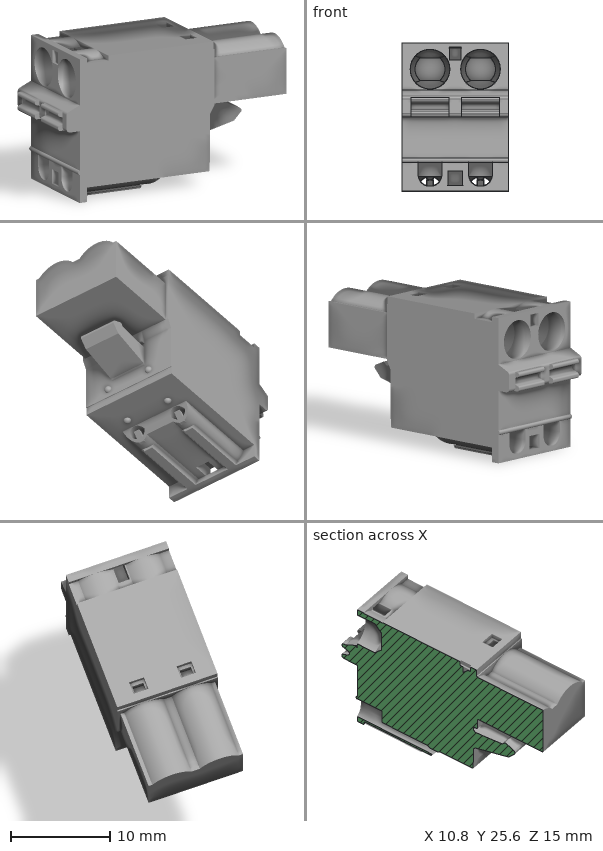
import cadquery as cq
import math


width = 10.75
top_z = 15.0
floor_z = 1.5
back_y = 14.82
nose_y = 15.33
nose_top_z = 14.15
nose_chamfer_bottom = (back_y, 7.5)
top_back_y = 15.2
heel_inset = 0.08
heel_z = 2.4
plate_thickness = 0.85

pole_pitch = 5.1
pole_xs = (-pole_pitch / 2, pole_pitch / 2)

plug_width = 10.15
plug_end_y = 23.63
plug_bottom_z = 8.42
plug_shoulder_z = 13.18
plug_crown_width = 4.25

recess_back_y = 3.25
recess_floor_z = 14.46
recess_crown_width = 3.64

socket_depth = 2.43
top_socket_width = 1.2
top_socket_bottom_z = 13.25
top_socket_height = 1.33
low_socket_width = 1.5
low_socket_bottom_z = 0.6
low_socket_height = 1.48

entry_z = 12.35
entry_radius = 2.0
entry_depth = 2.25
entry_split_angle = 42.0
throat_radius = 1.5
throat_half_height = 1.15
throat_depth = 0.77

window_width = 1.6
window_front_y = 13.08
window_back_y = 14.4
window_depth = 0.49
well_width = 1.2
well_front_y = 13.45
well_ledge_y = 14.08
well_ledge_depth = 0.13

ledge_top_z = 10.21
ledge_bottom_z = 7.5
ledge_reach = 1.48
ledge_nose_z = 9.55
ledge_top_round = 0.3
ledge_bottom_round = 0.38
rib_length = 3.81
rib_tip_y = -1.97
rib_top_z = 9.5
rib_bottom_z = 7.53
rib_outer_round = 0.23
rib_inner_round = 0.2
groove_z = 8.55
groove_mouth_height = 1.02
groove_root_height = 0.55
groove_root_y = -1.23
groove_floor_y = -1.05

bead_z = 3.15
bead_radius = 0.25
bead_reach = 0.18

trough_z = 1.75
trough_radius = 1.2
trough_top_z = 3.02
slot_depth = 3.07
tube_radius = 1.45
tube_end_y = 10.47
tube_bottom_z = trough_z - tube_radius
tube_chamfer = floor_z - tube_bottom_z
keel_end_y = 8.15
keel_half_width = 0.5
keel_overlap = 0.03
trough_roof_z = 0.25
trough_roof_end_radius = 1.23
ramp_width = 0.67
ramp_top_z = 1.15
ramp_thickness = 0.35

latch_width = 4.1
latch_top_z = 6.75
latch_bottom_z = 4.25
root_y = back_y - 0.25
lip_bottom_z = 7.12
lip_round = 0.13

pip_radius = 0.38
floor_pip_y = 11.62
back_pip_z = 3.35


def block(x_size, y_range, z_range, x_center=0.0):
    """Box centred on x_center and spanning the given Y and Z ranges."""
    y0, y1 = y_range
    z0, z1 = z_range
    corner_plane = cq.Workplane("XY", origin=(x_center, y0, z0))
    return corner_plane.box(x_size, y1 - y0, z1 - z0, centered=(True, False, False))


def side_prism(points, x_size, x_center=0.0):
    """Prism along X from a closed outline of (Y, Z) points."""
    outline = cq.Workplane("YZ").polyline(points).close()
    return outline.extrude(x_size / 2, both=True).translate((x_center, 0, 0))


def front_plane(y):
    """XZ plane at depth y; a negative extrusion runs toward +Y."""
    return cq.Workplane("XZ", origin=(0, y, 0))


def crown(x, chord, base_z, crest_z, y_range):
    """Rounded ridge along Y whose arc stands on a chord at base_z."""
    y0, y1 = y_range
    outline = (
        front_plane(y0)
        .moveTo(x - chord / 2, base_z)
        .threePointArc((x, crest_z), (x + chord / 2, base_z))
        .close()
    )
    return outline.extrude(y0 - y1)


def housing():
    """Main body with the front plate standing below its floor."""
    outline = [
        (0, 0),
        (plate_thickness, 0),
        (plate_thickness, floor_z),
        (back_y - heel_inset, floor_z),
        (back_y - heel_inset, heel_z),
        (back_y, heel_z),
        nose_chamfer_bottom,
        (nose_y, plug_bottom_z),
        (nose_y, nose_top_z),
        (top_back_y, nose_top_z),
        (top_back_y, top_z),
        (0, top_z),
    ]
    return side_prism(outline, width)


def plug():
    """Plug body with a rounded ridge over each pole."""
    span = (top_back_y, plug_end_y)
    body = block(plug_width, span, (plug_bottom_z, plug_shoulder_z))
    for x in pole_xs:
        body = body.union(crown(x, plug_crown_width, plug_shoulder_z, nose_top_z, span))
    return body


def top_recess():
    """Recess behind the front plate that leaves a rounded ridge over each wire entry."""
    span = (plate_thickness, recess_back_y)
    cut = block(width, span, (recess_floor_z, top_z))
    for x in pole_xs:
        cut = cut.cut(crown(x, recess_crown_width, recess_floor_z, top_z, span))
    return cut


def sockets():
    """Square sockets above and below, midway between the poles."""
    span = (0, socket_depth)
    upper = block(top_socket_width, span, (top_socket_bottom_z, top_socket_bottom_z + top_socket_height))
    lower = block(low_socket_width, span, (low_socket_bottom_z, low_socket_bottom_z + low_socket_height))
    return upper.union(lower)


def bore_outline(workplane, x):
    """Circle of the bore, split where the flats of the throat begin."""
    split = math.radians(entry_split_angle)
    corner_x = entry_radius * math.cos(split)
    corner_z = entry_radius * math.sin(split)
    return (
        workplane.moveTo(x + corner_x, entry_z - corner_z)
        .threePointArc((x + entry_radius, entry_z), (x + corner_x, entry_z + corner_z))
        .threePointArc((x, entry_z + entry_radius), (x - corner_x, entry_z + corner_z))
        .threePointArc((x - entry_radius, entry_z), (x - corner_x, entry_z - corner_z))
        .threePointArc((x, entry_z - entry_radius), (x + corner_x, entry_z - corner_z))
        .close()
    )


def throat_outline(workplane, x):
    """Circle of the throat with a flat at the top and at the bottom."""
    corner_x = math.sqrt(throat_radius**2 - throat_half_height**2)
    low_z = entry_z - throat_half_height
    high_z = entry_z + throat_half_height
    return (
        workplane.moveTo(x + corner_x, low_z)
        .threePointArc((x + throat_radius, entry_z), (x + corner_x, high_z))
        .lineTo(x - corner_x, high_z)
        .threePointArc((x - throat_radius, entry_z), (x - corner_x, low_z))
        .close()
    )


def wire_entry(x):
    """Round bore that narrows to a flat-sided throat."""
    bore = bore_outline(front_plane(0), x).extrude(-entry_depth)
    taper = bore_outline(front_plane(entry_depth), x)
    taper = throat_outline(taper.workplane(offset=-throat_depth, origin=(0, entry_depth, 0)), x)
    return bore.union(taper.loft(ruled=True))


def test_window(x):
    """Top window with a smaller well whose front part slopes down."""
    floor = top_z - window_depth
    ledge = floor - well_ledge_depth
    window = block(window_width, (window_front_y, window_back_y), (floor, top_z), x)
    slope_bottom = ledge - (well_ledge_y - well_front_y)
    well = side_prism(
        [
            (well_front_y, floor),
            (well_front_y, slope_bottom),
            (well_ledge_y, ledge),
            (window_back_y, ledge),
            (window_back_y, floor),
        ],
        well_width,
        x,
    )
    return window.union(well)


def rib_groove(x):
    """Groove whose sides close in toward a concave floor."""
    mouth = groove_mouth_height / 2
    root = groove_root_height / 2
    outline = (
        cq.Workplane("YZ")
        .moveTo(rib_tip_y, groove_z + mouth)
        .lineTo(groove_root_y, groove_z + root)
        .threePointArc((groove_floor_y, groove_z), (groove_root_y, groove_z - root))
        .lineTo(rib_tip_y, groove_z - mouth)
        .close()
    )
    return outline.extrude(rib_length / 2, both=True).translate((x, 0, 0))


def rib_pair(x):
    """Two ribs with rounded tips on either side of a groove."""
    ribs = block(rib_length, (rib_tip_y, 0), (rib_bottom_z, rib_top_z), x).cut(rib_groove(x))
    for outer_edge, inner_edge in ((">Z", "<Z"), ("<Z", ">Z")):
        ribs = ribs.faces("<Y").faces(outer_edge).edges("|X").edges(outer_edge).fillet(rib_outer_round)
        ribs = ribs.faces("<Y").faces(outer_edge).edges("|X").edges(inner_edge).fillet(rib_inner_round)
    return ribs


def ledge():
    """Full-width front ledge with a pair of ribs at each pole."""
    bar = side_prism(
        [
            (0, ledge_top_z),
            (-ledge_reach, ledge_nose_z),
            (-ledge_reach, ledge_bottom_z),
            (0, ledge_bottom_z),
        ],
        width,
    )
    bar = bar.edges("|X and <Y and <Z").fillet(ledge_bottom_round)
    bar = bar.faces("<Y").edges("|X and >Z").fillet(ledge_top_round)
    for x in pole_xs:
        bar = bar.cut(rib_groove(x)).union(rib_pair(x))
    return bar


def bead():
    """Round bead across the front plate, mostly sunk into it."""
    section = cq.Workplane("YZ").center(bead_radius - bead_reach, bead_z).circle(bead_radius)
    return section.extrude(width / 2, both=True)


def keel(x):
    """Rib under a tube that flares into it through concave sides."""
    start_z = tube_bottom_z + keel_overlap
    half_top = keel_half_width + start_z
    arc_inset = start_z * (1 - math.sqrt(0.5))
    mid_x = keel_half_width + arc_inset
    mid_z = start_z - arc_inset
    outline = (
        front_plane(plate_thickness)
        .moveTo(x - keel_half_width, 0)
        .lineTo(x + keel_half_width, 0)
        .threePointArc((x + mid_x, mid_z), (x + half_top, start_z))
        .lineTo(x - half_top, start_z)
        .threePointArc((x - mid_x, mid_z), (x - keel_half_width, 0))
        .close()
    )
    return outline.extrude(plate_thickness - keel_end_y)


def trough_tubes():
    """Two half tubes joined by a web, with a sloping back end."""
    envelope = side_prism(
        [
            (plate_thickness, floor_z),
            (tube_end_y, floor_z),
            (tube_end_y - tube_chamfer, tube_bottom_z),
            (plate_thickness, tube_bottom_z),
        ],
        width,
    )
    body = block(pole_pitch, (plate_thickness, tube_end_y), (low_socket_bottom_z, floor_z))
    for x in pole_xs:
        tube = front_plane(plate_thickness).center(x, trough_z).circle(tube_radius)
        body = body.union(tube.extrude(plate_thickness - tube_end_y))
    body = body.intersect(envelope)
    for x in pole_xs:
        body = body.union(keel(x))
    return body


def trough(x):
    """Entry slot in the front plate and the channel running out under the housing."""
    slot = block(2 * trough_radius, (0, slot_depth), (trough_z, trough_top_z), x)
    bore = front_plane(0).center(x, trough_z).circle(trough_radius).extrude(-tube_end_y)
    channel = bore.intersect(block(width, (0, tube_end_y), (0, floor_z), x))
    pocket = bore.intersect(block(width, (0, slot_depth), (0, top_z), x))
    roof_start_radius = math.hypot(trough_radius, floor_z - trough_roof_z)
    roof_end_y = tube_end_y - tube_chamfer
    roof = (
        front_plane(keel_end_y)
        .center(x, trough_roof_z)
        .circle(roof_start_radius)
        .workplane(offset=keel_end_y - roof_end_y)
        .circle(trough_roof_end_radius)
        .loft(ruled=True)
    )
    outlet = front_plane(roof_end_y).center(x, trough_roof_z).circle(trough_roof_end_radius)
    roof = roof.union(outlet.extrude(roof_end_y - tube_end_y))
    roof = roof.union(block(width, (0, keel_end_y), (0, floor_z), x))
    return slot.union(pocket).union(channel.intersect(roof))


def trough_ramp(x):
    """Narrow tongue rising from the trough floor along the sloping tube end."""
    foot_y = tube_end_y - tube_chamfer
    top_y = tube_end_y - (floor_z - ramp_top_z)
    return side_prism(
        [
            (foot_y - ramp_thickness, tube_bottom_z),
            (foot_y, tube_bottom_z),
            (top_y, ramp_top_z),
            (top_y - ramp_thickness, ramp_top_z),
        ],
        ramp_width,
        x,
    )


def latch():
    """Hooked latch arm reaching back below the plug."""
    outline = [
        (root_y, latch_top_z),
        (back_y, latch_top_z),
        (15.0, 6.58),
        (15.92, 6.63),
        (18.43, 6.84),
        (18.82, 7.2),
        (19.95, 6.7),
        (20.07, 6.55),
        (20.07, 6.32),
        (19.25, 5.45),
        (15.0, 4.4),
        (back_y, latch_bottom_z),
        (root_y, latch_bottom_z),
    ]
    return side_prism(outline, latch_width)


def stop_lip():
    """Lip below the plug that continues the nose downward."""
    lip = block(latch_width, (root_y, nose_y), (lip_bottom_z, plug_bottom_z))
    return lip.edges("|X and >Y and <Z").fillet(lip_round)


def pips(x):
    """Domed pips on the floor and on the back."""
    under = cq.Workplane("XY").sphere(pip_radius).translate((x, floor_pip_y, floor_z))
    behind = cq.Workplane("XY").sphere(pip_radius).translate((x, back_y, back_pip_z))
    return under.union(behind)


part = housing().union(plug()).union(ledge()).union(bead())
part = part.union(trough_tubes()).union(latch()).union(stop_lip())
part = part.cut(top_recess()).cut(sockets())
for pole_x in pole_xs:
    part = part.cut(wire_entry(pole_x)).cut(trough(pole_x)).cut(test_window(pole_x))
    part = part.union(trough_ramp(pole_x)).union(pips(pole_x))

result = part